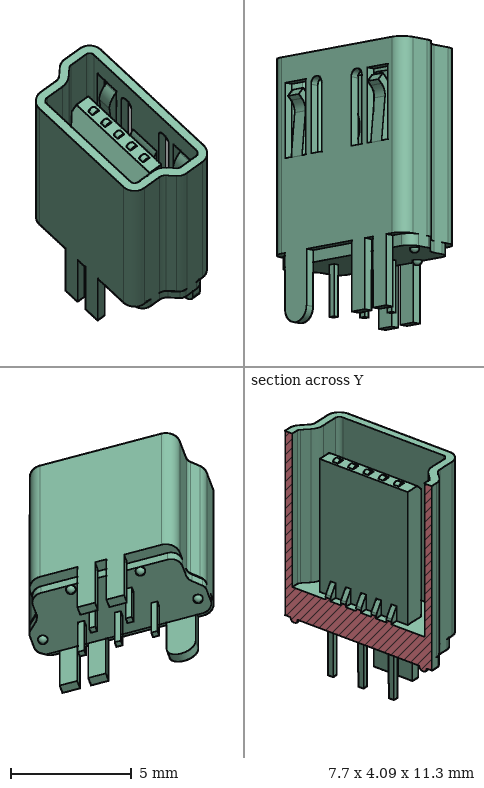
import cadquery as cq
import math

TOTAL_HEIGHT = 11.3
SHELL_BOTTOM = 3.01
BASE_BOTTOM = 2.51
FLOOR = 4.0
TONGUE_TOP = 10.33
PIN_BOTTOM = 0.3

SHELL_DEPTH = 3.9
SHELL_HALF_WIDTH = 7.7 / 2
SHELL_NECK_HALF_WIDTH = 3.25
SHELL_CORNER = 0.61
SHELL_SHOULDER_Y = 2.44
SHELL_SHOULDER_RADIUS = 0.6
SHELL_NECK_RADIUS = 0.37
WALL = 0.4
BACK_INNER = SHELL_DEPTH - WALL

BASE_FRONT = 0.46
BASE_BACK = 3.46
BASE_CORNER = 0.5
BASE_SHOULDER_Y = 2.37
BASE_SHOULDER_RADIUS = 0.33
BASE_NECK_RADIUS = 0.5
BUMP_RADIUS = 0.2
BACK_BUMP_X = 3.38
BACK_BUMP_Y = 2.7
FRONT_BUMP_X = 1.51
FRONT_BUMP_Y = 0.67

LEG_WIDTH = 0.77
FRONT_LEG_X = 0.63
BACK_LEG_CENTERS = (-2.52, -1.28)
ROUND_LEG_X = 2.38
ROUND_LEG_WIDTH = 1.27

TONGUE_HALF_WIDTH = 2.3
TONGUE_FRONT_HALF_WIDTH = 1.55
TONGUE_FRONT = 0.75
TONGUE_SHOULDER = 1.48
TONGUE_SLOPE_START = 1.74
TONGUE_BACK = 2.4
CONTACT_COUNT = 5
CONTACT_SPAN = 3.19
CONTACT_PITCH = CONTACT_SPAN / (CONTACT_COUNT - 1)
CONTACT_WIDTH = 0.27
DOME_Y = 2.07
DOME_LENGTH = 0.36
DOME_HEIGHT = 0.09
ROOT_FOOT_BACK = 2.78
ROOT_FOOT_TOP_BACK = 2.71
ROOT_FOOT_HEIGHT = 0.23
ROOT_RISE = 0.47
PIN_THICKNESS = 0.25
BACK_PIN_Y = 2.45
FRONT_PIN_Y = 1.46

OPENING_BOTTOM = 7.01
WINDOW_X = 2.4
WINDOW_WIDTH = 1.2
WINDOW_TOP = 10.19
SLOT_X = 1.18
SLOT_WIDTH = 0.61
SLOT_TOP = 10.24
SPRING_X = 2.33
SPRING_WIDTH = 0.63
SPRING_TIP_Y = 4.09
SPRING_TIP_Z = 9.56
SPRING_INNER_Y = 3.3
SPRING_LIP_ANGLE = 41.0
SPRING_LIP = 0.23
CATCH_WIDTH = 1.51
CATCH_INNER_Y = 3.28
CATCH_Z = 7.91
CATCH_HALF_HEIGHT = 0.68


def box(x_center, width, y_min, y_max, z_min, z_max):
    return (
        cq.Workplane("XY", origin=(x_center, (y_min + y_max) / 2, z_min))
        .rect(width, y_max - y_min)
        .extrude(z_max - z_min)
    )


def round_ended_bar(x_center, width, y_min, y_max, z_flat, z_round):
    """Upright bar whose end at z_round is a half circle across its width."""
    radius = width / 2
    arc_start = z_round - math.copysign(radius, z_round - z_flat)
    depth = y_max - y_min
    return (
        cq.Workplane("XZ")
        .moveTo(-radius, z_flat)
        .lineTo(-radius, arc_start)
        .threePointArc((0, z_round), (radius, arc_start))
        .lineTo(radius, z_flat)
        .close()
        .extrude(-depth)
        .translate((x_center, y_min, 0))
    )


def extrude_side_profile(sketch, x_center, width):
    """Centre a (y, z) profile, built along X, on x_center."""
    return sketch.extrude(width / 2, both=True).translate((x_center, 0, 0))


def outline(half_width, neck_half_width, front, back, corner, shoulder_y, shoulder_radius, neck_radius):
    """Symmetric outline, wide at the back, with 45 degree shoulders down to a narrower front."""
    diag = math.sqrt(0.5)
    radii = shoulder_radius + neck_radius
    slope = half_width - neck_half_width - radii * (1 - diag)
    neck_y = shoulder_y - radii * diag - slope

    def on_arc(center_x, center_y, radius, degrees):
        angle = math.radians(degrees)
        return (center_x + radius * math.cos(angle), center_y + radius * math.sin(angle))

    shoulder_x = half_width - shoulder_radius
    neck_x = neck_half_width + neck_radius
    half = (
        cq.Workplane("XY")
        .moveTo(0, back)
        .lineTo(half_width - corner, back)
        .threePointArc(on_arc(half_width - corner, back - corner, corner, 45), (half_width, back - corner))
        .lineTo(half_width, shoulder_y)
        .threePointArc(
            on_arc(shoulder_x, shoulder_y, shoulder_radius, -22.5),
            on_arc(shoulder_x, shoulder_y, shoulder_radius, -45),
        )
        .lineTo(*on_arc(neck_x, neck_y, neck_radius, 135))
        .threePointArc(on_arc(neck_x, neck_y, neck_radius, 157.5), (neck_half_width, neck_y))
        .lineTo(neck_half_width, front + corner)
        .threePointArc(
            on_arc(neck_half_width - corner, front + corner, corner, -45),
            (neck_half_width - corner, front),
        )
        .lineTo(0, front)
    )
    return half.mirrorY()


def shell_outline():
    return outline(
        SHELL_HALF_WIDTH, SHELL_NECK_HALF_WIDTH, 0, SHELL_DEPTH,
        SHELL_CORNER, SHELL_SHOULDER_Y, SHELL_SHOULDER_RADIUS, SHELL_NECK_RADIUS,
    )


def cavity(z_min, z_max):
    return shell_outline().offset2D(-WALL).extrude(z_max - z_min).translate((0, 0, z_min))


def back_openings():
    """Square spring windows and round-topped slots through the back wall."""
    cutters = cq.Workplane("XY")
    for side in (-1, 1):
        window = box(side * WINDOW_X, WINDOW_WIDTH, BASE_BACK, SHELL_DEPTH, OPENING_BOTTOM, WINDOW_TOP)
        slot = round_ended_bar(
            side * SLOT_X, SLOT_WIDTH, BASE_BACK, SHELL_DEPTH, OPENING_BOTTOM, SLOT_TOP
        )
        cutters = cutters.add(window).add(slot)
    return cutters.combine()


def shell():
    height = TOTAL_HEIGHT - SHELL_BOTTOM
    tube = shell_outline().extrude(height).translate((0, 0, SHELL_BOTTOM))
    return tube.cut(cavity(SHELL_BOTTOM, TOTAL_HEIGHT)).cut(back_openings())


def legs():
    """Two front legs, two square back legs and one round-ended back leg."""
    body = cq.Workplane("XY")
    for side in (-1, 1):
        body = body.add(box(side * FRONT_LEG_X, LEG_WIDTH, 0, WALL, 0, SHELL_BOTTOM))
    for x in BACK_LEG_CENTERS:
        body = body.add(box(x, LEG_WIDTH, BACK_INNER, SHELL_DEPTH, 0, SHELL_BOTTOM))
    round_leg = round_ended_bar(ROUND_LEG_X, ROUND_LEG_WIDTH, BACK_INNER, SHELL_DEPTH, SHELL_BOTTOM, 0)
    return body.add(round_leg).combine()


def spring(x):
    """Strip that leans into the cavity, then bows out through its window to a sloped lip."""
    lip_angle = math.radians(SPRING_LIP_ANGLE)
    lip_cos = math.cos(lip_angle)
    lip_sin = math.sin(lip_angle)
    lip_top = (SPRING_TIP_Y - WALL * lip_sin, SPRING_TIP_Z + WALL * lip_cos)
    lip_root = (lip_top[0] - SPRING_LIP * lip_cos, lip_top[1] - SPRING_LIP * lip_sin)
    bow_radius = (lip_root[0] - SPRING_INNER_Y) / (1 - lip_sin)
    bow_end_z = lip_root[1] - bow_radius * lip_cos
    outer_root = (lip_root[0] + WALL * lip_sin, lip_root[1] - WALL * lip_cos)
    outer_bow_end = (SPRING_INNER_Y + WALL, bow_end_z)
    sketch = (
        cq.Workplane("YZ")
        .moveTo(SPRING_TIP_Y, SPRING_TIP_Z)
        .lineTo(*lip_top)
        .lineTo(*lip_root)
        .tangentArcPoint((SPRING_INNER_Y, bow_end_z), relative=False)
        .lineTo(BACK_INNER, OPENING_BOTTOM)
        .lineTo(SHELL_DEPTH, OPENING_BOTTOM)
        .lineTo(*outer_bow_end)
        .radiusArc(outer_root, bow_radius - WALL)
        .close()
    )
    return extrude_side_profile(sketch, x, SPRING_WIDTH)


def center_catch():
    """Rounded bulge on the inside of the back wall."""
    sketch = (
        cq.Workplane("YZ")
        .moveTo(BACK_INNER, CATCH_Z - CATCH_HALF_HEIGHT)
        .threePointArc((CATCH_INNER_Y, CATCH_Z), (BACK_INNER, CATCH_Z + CATCH_HALF_HEIGHT))
        .close()
    )
    return extrude_side_profile(sketch, 0, CATCH_WIDTH)


def base():
    """Insulator foot below the shell, the plug that fills the cavity above it, and stand-off bumps."""
    foot = outline(
        SHELL_HALF_WIDTH, SHELL_NECK_HALF_WIDTH, BASE_FRONT, BASE_BACK,
        BASE_CORNER, BASE_SHOULDER_Y, BASE_SHOULDER_RADIUS, BASE_NECK_RADIUS,
    )
    body = foot.extrude(SHELL_BOTTOM - BASE_BOTTOM).translate((0, 0, BASE_BOTTOM))
    plug_room = box(0, 2 * SHELL_HALF_WIDTH, 0, BASE_BACK, SHELL_BOTTOM, FLOOR)
    body = body.union(cavity(SHELL_BOTTOM, FLOOR).intersect(plug_room))
    for x, y in ((BACK_BUMP_X, BACK_BUMP_Y), (FRONT_BUMP_X, FRONT_BUMP_Y)):
        for side in (-1, 1):
            bump = cq.Workplane("XY", origin=(side * x, y, BASE_BOTTOM)).sphere(BUMP_RADIUS)
            body = body.union(bump)
    return body


def tongue():
    """Tongue with cut front corners and a 45 degree sloped front."""
    block = (
        cq.Workplane("XY", origin=(0, 0, FLOOR))
        .polyline([
            (-TONGUE_HALF_WIDTH, TONGUE_BACK),
            (TONGUE_HALF_WIDTH, TONGUE_BACK),
            (TONGUE_HALF_WIDTH, TONGUE_SHOULDER),
            (TONGUE_FRONT_HALF_WIDTH, TONGUE_FRONT),
            (-TONGUE_FRONT_HALF_WIDTH, TONGUE_FRONT),
            (-TONGUE_HALF_WIDTH, TONGUE_SHOULDER),
        ])
        .close()
        .extrude(TONGUE_TOP - FLOOR)
    )
    slope_run = TONGUE_SLOPE_START - TONGUE_FRONT
    wedge = (
        cq.Workplane("YZ")
        .moveTo(TONGUE_SLOPE_START, TONGUE_TOP)
        .lineTo(TONGUE_FRONT, TONGUE_TOP)
        .lineTo(TONGUE_FRONT, TONGUE_TOP - slope_run)
        .close()
    )
    return block.cut(extrude_side_profile(wedge, 0, 2 * TONGUE_HALF_WIDTH))


def contact(x, pin_y):
    """Domed contact tip on the tongue, its root on the cavity floor and its solder pin."""
    dome = (
        cq.Workplane("YZ")
        .moveTo(DOME_Y - DOME_LENGTH / 2, TONGUE_TOP)
        .threePointArc((DOME_Y, TONGUE_TOP + DOME_HEIGHT), (DOME_Y + DOME_LENGTH / 2, TONGUE_TOP))
        .close()
    )
    foot_top = FLOOR + ROOT_FOOT_HEIGHT
    root = (
        cq.Workplane("YZ")
        .moveTo(TONGUE_BACK, FLOOR)
        .lineTo(ROOT_FOOT_BACK, FLOOR)
        .lineTo(ROOT_FOOT_TOP_BACK, foot_top)
        .lineTo(TONGUE_BACK, foot_top + ROOT_RISE)
        .close()
    )
    half_pin = PIN_THICKNESS / 2
    pin = box(x, CONTACT_WIDTH, pin_y - half_pin, pin_y + half_pin, PIN_BOTTOM, BASE_BOTTOM)
    tip = extrude_side_profile(dome, x, CONTACT_WIDTH)
    return tip.union(extrude_side_profile(root, x, CONTACT_WIDTH)).union(pin)


result = shell().union(legs()).union(base()).union(tongue()).union(center_catch())
for side in (-1, 1):
    result = result.union(spring(side * SPRING_X))
for index in range(CONTACT_COUNT):
    pin_row = BACK_PIN_Y if index % 2 == 0 else FRONT_PIN_Y
    contact_x = index * CONTACT_PITCH - CONTACT_SPAN / 2
    result = result.union(contact(contact_x, pin_row))